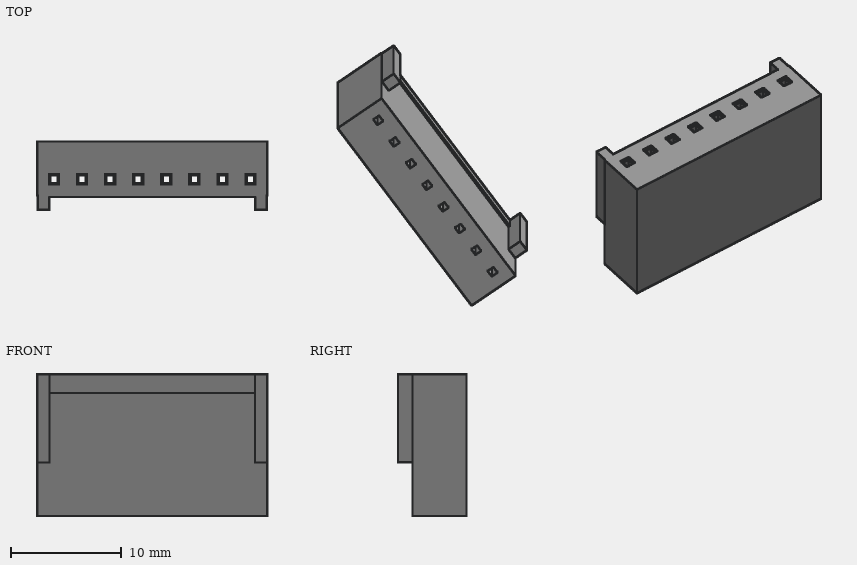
import cadquery as cq

housing_length = 20.84
housing_height = 12.85
overall_depth = 6.2
housing_depth = 4.9
back_y = 3.43
front_y = back_y - housing_depth
ear_front_y = back_y - overall_depth

ear_width = 1.05
ear_height = 8.0
ear_end_inset = 0.06

lip_height = 1.7
lip_projection = 0.15

contact_count = 8
contact_pitch = 2.54
hole_width = 0.64
lead_in_width = 0.94
lead_in_depth = 0.15


def box_between(x_range, y_range, z_range):
    """Axis-aligned box spanning the given (low, high) ranges."""
    size = [high - low for low, high in (x_range, y_range, z_range)]
    corner = (x_range[0], y_range[0], z_range[0])
    return cq.Workplane("XY").box(*size, centered=False).translate(corner)


def make_housing():
    half_length = housing_length / 2
    return box_between((-half_length, half_length), (front_y, back_y), (0, housing_height))


def make_ear(side):
    """Ear at the -X end (side = -1) or the +X end (side = 1)."""
    outer_x = side * (housing_length / 2 - ear_end_inset)
    inner_x = outer_x - side * ear_width
    x_range = (min(outer_x, inner_x), max(outer_x, inner_x))
    return box_between(x_range, (ear_front_y, front_y), (housing_height - ear_height, housing_height))


def make_lip():
    half_length = housing_length / 2 - ear_end_inset - ear_width
    y_range = (front_y - lip_projection, front_y)
    return box_between((-half_length, half_length), y_range, (housing_height - lip_height, housing_height))


def make_contact_opening(x):
    hole = cq.Workplane("XY").center(x, 0).rect(hole_width, hole_width).extrude(housing_height)
    lead_in = (
        cq.Workplane("XY", origin=(x, 0, housing_height - lead_in_depth))
        .rect(hole_width, hole_width)
        .workplane(offset=lead_in_depth)
        .rect(lead_in_width, lead_in_width)
        .loft(ruled=True)
    )
    return hole.union(lead_in)


result = make_housing().union(make_lip())
for side in (-1, 1):
    result = result.union(make_ear(side))
for index in range(contact_count):
    contact_x = (index - (contact_count - 1) / 2) * contact_pitch
    result = result.cut(make_contact_opening(contact_x))